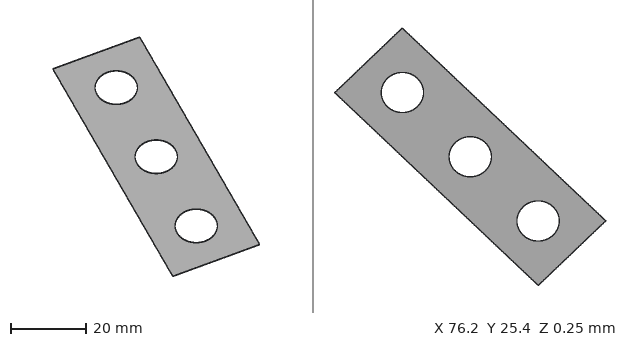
import cadquery as cq

length = 76.2
hole_count = 3
cell_size = length / hole_count
thickness = 0.25
hole_diameter = 11.2

strip = cq.Workplane("XY").box(length, cell_size, thickness)

result = (
    strip.faces(">Z")
    .workplane()
    .rarray(cell_size, cell_size, hole_count, 1)
    .hole(hole_diameter)
)